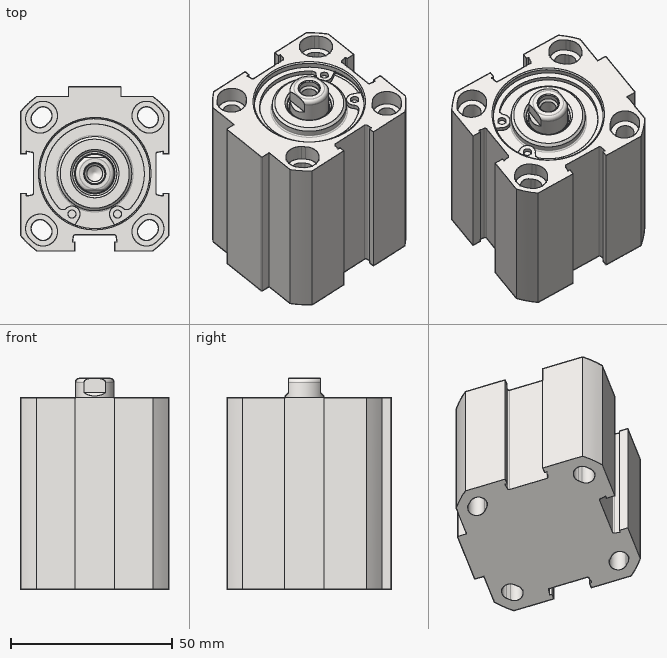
import cadquery as cq
import math

BODY_WIDTH = 46.0
BODY_DEPTH = 48.0
BODY_HEIGHT = 59.5
CORNER_DIAMETER = 60.0
RIB_WIDTH = 16.4
RIB_DEPTH = 3.0
RIB_EDGE_FILLET = 0.3

SLOT_HALF_OPENING = 6.15
SLOT_HEAD_DEPTH = 2.2
SLOT_UNDERCUT = 0.75
SLOT_FLOOR_STEP = 0.45
SLOT_CORNER_RADIUS = 0.5
SIDE_LIP = 1.8
FRONT_LIP = 2.8

MOUNT_X = 16.5
MOUNT_Y = 17.5
MOUNT_STRETCH = 1.3
MOUNT_DIAMETER = 5.5
COUNTERBORE_DIAMETER = 9.0
COUNTERBORE_DEPTH = 5.5

BORE_DIAMETER = 34.1
BORE_CHAMFER = 0.4
COVER_THICKNESS = 10.0
RING_TOP_DROP = 2.1
RING_THICKNESS = 1.5
RING_OUTER_DIAMETER = 35.8
RING_INNER_DIAMETER = 30.8
EAR_RADIUS = 2.5
EAR_HOLE_DIAMETER = 2.5
EAR_HOLE_RADIUS = 14.4
EAR_ANGLE = 29.4
EAR_BLEND = 1.6

COVER_BOSS_DIAMETER = 23.0
COVER_BOSS_DROP = 0.5
COVER_BOSS_CHAMFER = 0.8
COVER_FOOT_FILLET = 0.4
WIPER_DIAMETER = 13.7
WIPER_CHAMFER = 0.65
WIPER_DEPTH = 1.5
RELIEF_DIAMETER = 12.54
RELIEF_DEPTH = 3.0

ROD_DIAMETER = 12.0
ROD_PROTRUSION = 6.0
ROD_FILLET = 1.28
FLAT_WIDTH = 10.0
FLAT_LENGTH = 4.5
THREAD_DIAMETER = 6.25
THREAD_CHAMFER = 0.3
THREAD_DEPTH = 2.15
DRILL_DIAMETER = 4.92
DRILL_DEPTH = 12.0
DRILL_TIP_ANGLE = 118.0

ROD_TOP = BODY_HEIGHT + ROD_PROTRUSION
RING_TOP = BODY_HEIGHT - RING_TOP_DROP
FLANGE_TOP = RING_TOP - RING_THICKNESS
COVER_BOTTOM = FLANGE_TOP - COVER_THICKNESS
COVER_BOSS_TOP = BODY_HEIGHT - COVER_BOSS_DROP


def cylinder(diameter, bottom, top):
    return cq.Workplane("XY").workplane(offset=bottom).circle(diameter / 2).extrude(top - bottom)


def sensor_slot(lip):
    """Slot cutter that opens toward -Y, its mouth on Y = 0."""
    mouth = SLOT_HALF_OPENING
    floor = lip + SLOT_HEAD_DEPTH
    taper_end = mouth + SLOT_FLOOR_STEP
    corner = SLOT_CORNER_RADIUS
    arc_mid = corner * (1 - math.sqrt(0.5))
    right_half = (
        cq.Workplane("XY")
        .moveTo(0, 0)
        .lineTo(mouth, 0)
        .lineTo(mouth, lip)
        .lineTo(mouth + SLOT_UNDERCUT, lip)
        .lineTo(taper_end, floor - corner)
        .threePointArc((taper_end - arc_mid, floor - arc_mid), (taper_end - corner, floor))
        .lineTo(0, floor)
        .close()
        .extrude(BODY_HEIGHT)
    )
    return right_half.union(right_half.mirror("YZ"))


def mounting_hole(diameter, bottom, x_side, y_side):
    """Slot cutter at one corner, its long side square to the diagonal."""
    return (
        cq.Workplane("XY", origin=(x_side * MOUNT_X, y_side * MOUNT_Y, bottom))
        .slot2D(diameter + MOUNT_STRETCH, diameter, -45 * x_side * y_side)
        .extrude(BODY_HEIGHT - bottom)
    )


def make_housing():
    body = cq.Workplane("XY").rect(BODY_WIDTH, BODY_DEPTH).extrude(BODY_HEIGHT)
    body = body.intersect(cylinder(CORNER_DIAMETER, 0, BODY_HEIGHT))

    rib_length = BODY_DEPTH / 2 + RIB_DEPTH
    rib = (
        cq.Workplane("XY")
        .center(0, rib_length / 2)
        .rect(RIB_WIDTH, rib_length)
        .extrude(BODY_HEIGHT)
        .edges("|Z and >Y")
        .fillet(RIB_EDGE_FILLET)
    )
    body = body.union(rib)

    body = body.cut(sensor_slot(FRONT_LIP).translate((0, -BODY_DEPTH / 2, 0)))
    side_slot = sensor_slot(SIDE_LIP).translate((0, -BODY_WIDTH / 2, 0))
    for turn in (-90, 90):
        body = body.cut(side_slot.rotate((0, 0, 0), (0, 0, 1), turn))

    for x_side in (-1, 1):
        for y_side in (-1, 1):
            body = body.cut(mounting_hole(MOUNT_DIAMETER, 0, x_side, y_side))
            counterbore_floor = BODY_HEIGHT - COUNTERBORE_DEPTH
            body = body.cut(mounting_hole(COUNTERBORE_DIAMETER, counterbore_floor, x_side, y_side))

    body = body.cut(cylinder(BORE_DIAMETER, COVER_BOTTOM, BODY_HEIGHT))
    bore_rim = cq.selectors.NearestToPointSelector((0, 0, BODY_HEIGHT))
    body = body.faces(">Z").edges("%CIRCLE").edges(bore_rim).chamfer(BORE_CHAMFER)
    return body.cut(cylinder(RING_OUTER_DIAMETER, FLANGE_TOP, RING_TOP))


def make_cover():
    boss = cylinder(COVER_BOSS_DIAMETER, FLANGE_TOP, COVER_BOSS_TOP)
    boss = boss.faces(">Z").edges().chamfer(COVER_BOSS_CHAMFER)
    cover = cylinder(BORE_DIAMETER, COVER_BOTTOM, FLANGE_TOP).union(boss)
    smallest_circle = cq.selectors.RadiusNthSelector(0)
    flange_face = cq.selectors.NearestToPointSelector((0, 0, FLANGE_TOP))
    cover = cover.faces(flange_face).edges(smallest_circle).fillet(COVER_FOOT_FILLET)
    cover = cover.cut(cylinder(ROD_DIAMETER, COVER_BOTTOM, COVER_BOSS_TOP))
    cover = cover.cut(cylinder(RELIEF_DIAMETER, COVER_BOSS_TOP - RELIEF_DEPTH, COVER_BOSS_TOP))
    cover = cover.cut(cylinder(WIPER_DIAMETER, COVER_BOSS_TOP - WIPER_DEPTH, COVER_BOSS_TOP))
    return cover.faces(">Z").edges("%CIRCLE").edges(smallest_circle).chamfer(WIPER_CHAMFER)


def make_retaining_ring():
    outer = cylinder(RING_OUTER_DIAMETER, FLANGE_TOP, RING_TOP)
    ring = outer.cut(cylinder(RING_INNER_DIAMETER, FLANGE_TOP, RING_TOP))

    angle = math.radians(EAR_ANGLE)
    reach = RING_OUTER_DIAMETER
    gap_corner = (reach * math.sin(angle), -reach * math.cos(angle))
    gap = (
        cq.Workplane("XY")
        .workplane(offset=FLANGE_TOP)
        .polyline([(0, 0), (-gap_corner[0], gap_corner[1]), gap_corner])
        .close()
        .extrude(RING_THICKNESS)
    )
    ring = ring.cut(gap)

    ear = (
        cylinder(2 * EAR_RADIUS, FLANGE_TOP, RING_TOP)
        .union(
            cq.Workplane("XY", origin=(0, -EAR_RADIUS, FLANGE_TOP))
            .rect(2 * EAR_RADIUS, 2 * EAR_RADIUS)
            .extrude(RING_THICKNESS)
        )
        .translate((0, -EAR_HOLE_RADIUS, 0))
        .intersect(outer)
    )
    ear_hole = cylinder(EAR_HOLE_DIAMETER, FLANGE_TOP, RING_TOP).translate((0, -EAR_HOLE_RADIUS, 0))

    inner_radius = RING_INNER_DIAMETER / 2
    blend_angle = angle + math.asin(EAR_RADIUS / inner_radius)
    blend_x = inner_radius * math.sin(blend_angle)
    blend_y = -inner_radius * math.cos(blend_angle)
    blend_z = (FLANGE_TOP + RING_TOP) / 2
    for side in (-1, 1):
        turn = side * EAR_ANGLE
        ring = ring.union(ear.rotate((0, 0, 0), (0, 0, 1), turn))
        blend_edge = cq.selectors.NearestToPointSelector((side * blend_x, blend_y, blend_z))
        ring = ring.edges("|Z").edges(blend_edge).fillet(EAR_BLEND)
        ring = ring.cut(ear_hole.rotate((0, 0, 0), (0, 0, 1), turn))
    return ring


def make_rod():
    rod = cylinder(ROD_DIAMETER, COVER_BOTTOM, ROD_TOP).faces(">Z").edges().fillet(ROD_FILLET)

    rod_radius = ROD_DIAMETER / 2
    flat = FLAT_WIDTH / 2
    flat_bottom = ROD_TOP - FLAT_LENGTH
    flat_cut = (
        cq.Workplane("YZ")
        .polyline([
            (-flat, ROD_TOP),
            (-flat, flat_bottom),
            (-rod_radius, flat_bottom - (rod_radius - flat)),
            (-rod_radius, ROD_TOP),
        ])
        .close()
        .extrude(rod_radius, both=True)
    )
    rod = rod.cut(flat_cut).cut(flat_cut.mirror("XZ"))

    mouth = THREAD_DIAMETER / 2 + THREAD_CHAMFER
    thread = THREAD_DIAMETER / 2
    drill = DRILL_DIAMETER / 2
    cone = thread - drill
    tip = drill / math.tan(math.radians(DRILL_TIP_ANGLE / 2))
    socket = (
        cq.Workplane("XZ")
        .polyline([
            (0, ROD_TOP),
            (mouth, ROD_TOP),
            (thread, ROD_TOP - THREAD_CHAMFER),
            (thread, ROD_TOP - THREAD_DEPTH),
            (drill, ROD_TOP - THREAD_DEPTH - cone),
            (drill, ROD_TOP - DRILL_DEPTH),
            (0, ROD_TOP - DRILL_DEPTH - tip),
        ])
        .close()
        .revolve(360, (0, 0, 0), (0, 1, 0))
    )
    return rod.cut(socket)


housing = make_housing()
cover = make_cover()
retaining_ring = make_retaining_ring()
rod = make_rod()

result = cq.Compound.makeCompound([housing.val(), cover.val(), retaining_ring.val(), rod.val()])